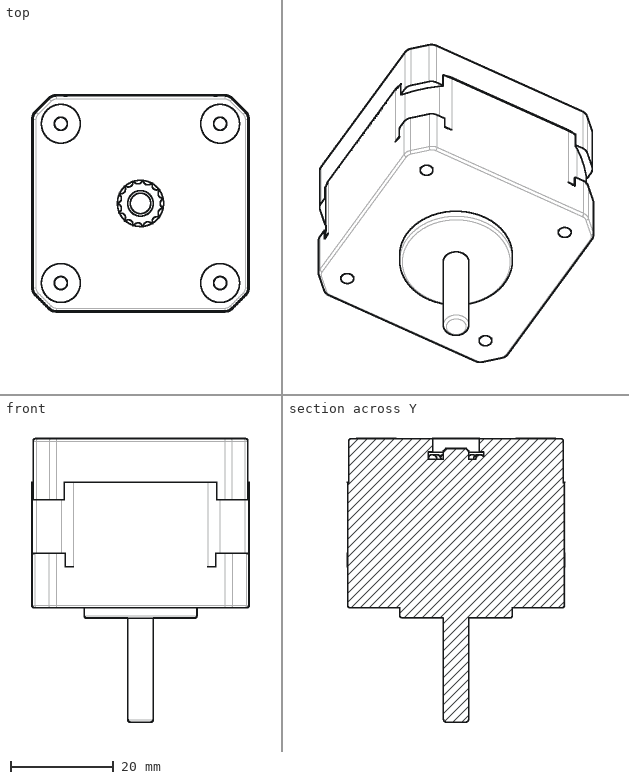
import cadquery as cq
import math


OVERALL_HEIGHT = 55.3
BODY_WIDTH = 42.3
REAR_CAP_WIDTH = 41.85
BODY_HEIGHT = 33.0
FLANGE_CORNER_CUT = 3.85
CAP_CORNER_CUT = 3.7
CORNER_BLEND = 2.0
FLANGE_RIM_FILLET = 0.5
CAP_RIM_FILLET = 0.55

STATOR_DIAMETER = 51.1
STATOR_BLEND = 4.0

FLANGE_HEIGHT = 8.0
FLANGE_LEG_HEIGHT = 2.6
FLANGE_WINDOW_WIDTH = 29.25
CAP_HEIGHT = 8.55
CAP_LEG_HEIGHT = 3.4
CAP_WINDOW_WIDTH = 29.7

SCREW_PITCH = 31.0
SCREW_DIAMETER = 2.5
COUNTERSINK_DIAMETER = 7.6
COUNTERSINK_ANGLE = 90

PILOT_DIAMETER = 22.0
PILOT_HEIGHT = 2.0
PILOT_FILLET = 0.5
SHAFT_DIAMETER = 5.0
SHAFT_LENGTH = OVERALL_HEIGHT - BODY_HEIGHT
SHAFT_FILLET = 0.55
SHAFT_CHAMFER = 0.5
SHAFT_TOP_DEPTH = 1.95

BORE_DIAMETER = 9.0
BORE_DEPTH = 2.65
BEARING_DIAMETER = 10.8
BEARING_DEPTH = 4.05
BALL_COUNT = 15
BALL_DIAMETER = 1.75
BALL_PITCH_DIAMETER = 9.4


def cylinder(diameter, bottom, height):
    return cq.Workplane("XY").workplane(offset=bottom).circle(diameter / 2).extrude(height)


def square_block(width, bottom, height):
    return cq.Workplane("XY").workplane(offset=bottom).rect(width, width).extrude(height)


def end_cover(width, corner_cut, bottom, height, rim, rim_fillet):
    """Square block with blended corner chamfers and a rounded rim on one end face."""
    block = square_block(width, bottom, height)
    block = block.edges("|Z").chamfer(corner_cut)
    block = block.edges("|Z").fillet(CORNER_BLEND)
    return block.faces(rim).edges().fillet(rim_fillet)


def leg_windows(width, bottom, height):
    """Crossed bars that clear the space between four corner legs."""
    span = 2 * BODY_WIDTH
    plane = cq.Workplane("XY").workplane(offset=bottom)
    return plane.rect(span, width).extrude(height).union(plane.rect(width, span).extrude(height))


def make_flange():
    height = FLANGE_HEIGHT + FLANGE_LEG_HEIGHT
    flange = end_cover(BODY_WIDTH, FLANGE_CORNER_CUT, 0, height, "<Z", FLANGE_RIM_FILLET)
    return flange.cut(leg_windows(FLANGE_WINDOW_WIDTH, FLANGE_HEIGHT, FLANGE_LEG_HEIGHT))


def make_rear_cap():
    height = CAP_HEIGHT + CAP_LEG_HEIGHT
    bottom = BODY_HEIGHT - height
    cap = end_cover(REAR_CAP_WIDTH, CAP_CORNER_CUT, bottom, height, ">Z", CAP_RIM_FILLET)
    return cap.cut(leg_windows(CAP_WINDOW_WIDTH, bottom, CAP_LEG_HEIGHT))


def make_stator():
    height = BODY_HEIGHT - FLANGE_HEIGHT - CAP_HEIGHT
    stator = square_block(BODY_WIDTH, FLANGE_HEIGHT, height)
    stator = stator.intersect(cylinder(STATOR_DIAMETER, FLANGE_HEIGHT, height))
    return stator.edges("|Z").fillet(STATOR_BLEND)


def make_pilot():
    pilot = cylinder(PILOT_DIAMETER, -PILOT_HEIGHT, PILOT_HEIGHT)
    return pilot.faces("<Z").edges().fillet(PILOT_FILLET)


def make_shaft():
    length = SHAFT_LENGTH + BODY_HEIGHT - SHAFT_TOP_DEPTH
    shaft = cylinder(SHAFT_DIAMETER, -SHAFT_LENGTH, length)
    shaft = shaft.faces("<Z").edges().fillet(SHAFT_FILLET)
    return shaft.faces(">Z").chamfer(SHAFT_CHAMFER)


def make_bearing_recess():
    bore = cylinder(BORE_DIAMETER, BODY_HEIGHT - BORE_DEPTH, BORE_DEPTH)
    seat = cylinder(BEARING_DIAMETER, BODY_HEIGHT - BEARING_DEPTH, BEARING_DEPTH - BORE_DEPTH)
    return bore.union(seat)


def add_balls(body):
    for index in range(BALL_COUNT):
        angle = 2 * math.pi * index / BALL_COUNT
        centre = (
            BALL_PITCH_DIAMETER / 2 * math.cos(angle),
            BALL_PITCH_DIAMETER / 2 * math.sin(angle),
            BODY_HEIGHT - BEARING_DEPTH,
        )
        body = body.union(cq.Workplane("XY").sphere(BALL_DIAMETER / 2).translate(centre))
    return body


def cut_screw_holes(body):
    rear_face = cq.Workplane("XY").workplane(offset=BODY_HEIGHT)
    screw_places = rear_face.rect(SCREW_PITCH, SCREW_PITCH, forConstruction=True).vertices()
    through_holes = screw_places.circle(SCREW_DIAMETER / 2).extrude(-BODY_HEIGHT)
    half_angle = math.radians(COUNTERSINK_ANGLE / 2)
    cone_depth = (COUNTERSINK_DIAMETER - SCREW_DIAMETER) / 2 / math.tan(half_angle)
    cone = cq.Solid.makeCone(
        SCREW_DIAMETER / 2, COUNTERSINK_DIAMETER / 2, cone_depth, pnt=cq.Vector(0, 0, -cone_depth)
    )
    countersinks = screw_places.eachpoint(lambda place: cone.moved(place))
    return body.cut(through_holes).cut(countersinks)


body = make_stator().union(make_flange()).union(make_rear_cap()).union(make_pilot())
body = cut_screw_holes(body).cut(make_bearing_recess())
result = add_balls(body.union(make_shaft()))